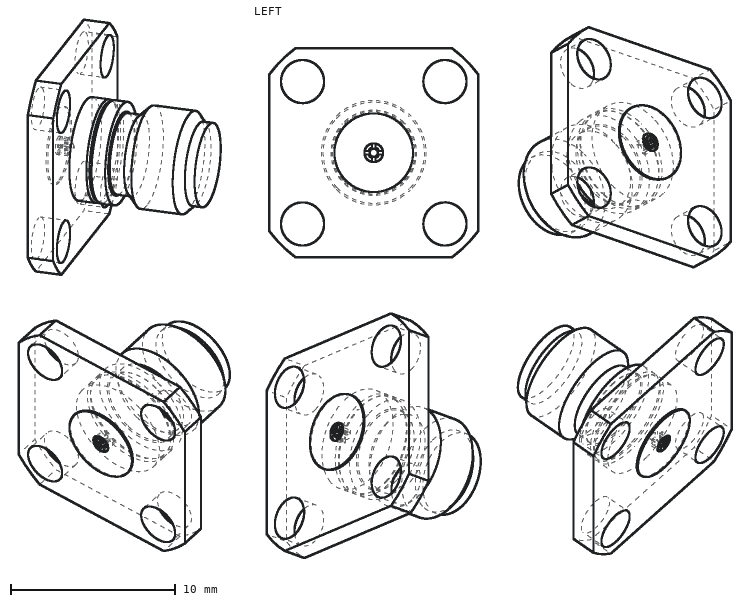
import cadquery as cq
import math

flange_width = 12.7
flange_thickness = 1.63
flange_corner_radius = 7.92
hole_diameter = 2.6
hole_spacing = 8.64

disc_diameter = 4.78
disc_height = 0.1

overall_length = 9.52
barrel_radius = 3.18
groove_start = 2.72
groove_width = 0.33
groove_depth = 0.1
shoulder_end = 3.91
neck_radius = 2.5
neck_relief = 0.08
neck_end = 4.9
nut_end = 8.22
nose_radius = 2.59

contact_diameter = 1.13
contact_recess = 0.13
bore_diameter = 0.5
bore_mouth_diameter = 0.66
bore_depth = 0.76
bore_tip_angle = 118.0
slot_width = 0.23
slot_depth = 0.51


def make_flange():
    square = cq.Workplane("YZ").rect(flange_width, flange_width).extrude(flange_thickness)
    turned_corners = cq.Workplane("YZ").circle(flange_corner_radius).extrude(flange_thickness)
    holes = (
        cq.Workplane("YZ")
        .rect(hole_spacing, hole_spacing, forConstruction=True)
        .vertices()
        .circle(hole_diameter / 2)
        .extrude(flange_thickness)
    )
    return square.intersect(turned_corners).cut(holes)


def revolve_about_axis(profile):
    return profile.close().revolve(360, (0, 0, 0), (1, 0, 0))


def make_barrel():
    groove_middle = groove_start + groove_width / 2
    nut_start = neck_end + barrel_radius - neck_radius
    nose_start = nut_end + barrel_radius - nose_radius
    front = overall_length - disc_height
    profile = (
        cq.Workplane("XY")
        .moveTo(0, 0)
        .lineTo(0, barrel_radius)
        .lineTo(groove_start, barrel_radius)
        .lineTo(groove_middle, barrel_radius - groove_depth)
        .lineTo(groove_start + groove_width, barrel_radius)
        .lineTo(shoulder_end, barrel_radius)
        .lineTo(shoulder_end, neck_radius + neck_relief)
        .lineTo(shoulder_end + neck_relief, neck_radius)
        .lineTo(neck_end, neck_radius)
        .lineTo(nut_start, barrel_radius)
        .lineTo(nut_end, barrel_radius)
        .lineTo(nose_start, nose_radius)
        .lineTo(front, nose_radius)
        .lineTo(front, 0)
    )
    return revolve_about_axis(profile)


def make_disc():
    return cq.Workplane("YZ").circle(disc_diameter / 2).extrude(-disc_height)


def make_contact_cutter():
    disc_face = -disc_height
    contact_face = disc_face + contact_recess
    bore_radius = bore_diameter / 2
    mouth_radius = bore_mouth_diameter / 2
    bore_end = contact_face + bore_depth
    tip_length = bore_radius / math.tan(math.radians(bore_tip_angle / 2))

    recess_and_bore = revolve_about_axis(
        cq.Workplane("XY")
        .moveTo(disc_face, 0)
        .lineTo(disc_face, contact_diameter / 2)
        .lineTo(contact_face, contact_diameter / 2)
        .lineTo(contact_face, mouth_radius)
        .lineTo(contact_face + mouth_radius - bore_radius, bore_radius)
        .lineTo(bore_end, bore_radius)
        .lineTo(bore_end + tip_length, 0)
    )
    slot_plane = cq.Workplane("YZ", origin=(contact_face, 0, 0))
    slots = (
        slot_plane.rect(contact_diameter, slot_width).extrude(slot_depth)
        .union(slot_plane.rect(slot_width, contact_diameter).extrude(slot_depth))
    )
    contact_envelope = slot_plane.circle(contact_diameter / 2).extrude(slot_depth)
    return recess_and_bore.union(slots.intersect(contact_envelope))


result = make_flange().union(make_barrel()).union(make_disc()).cut(make_contact_cutter())